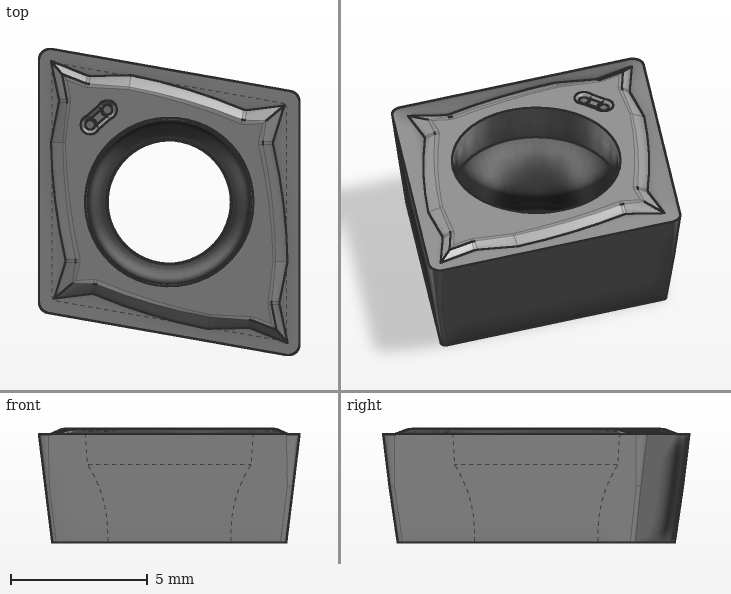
import cadquery as cq
import math

width = 9.53
length = 11.2
total_height = 4.17
land_height = 3.96
break_height = 2.07
acute_angle = 80.0
clearance_angle = 7.0
half_width = width / 2
lean = math.radians(90 - acute_angle)
core_apothem = (length - width) / 2 / (1 / math.cos(lean) + math.tan(lean) - 1)
corner_radius = half_width - core_apothem
overlap = 0.11

bore_diameter = 4.5
entry_diameter = 6.16
seat_diameter = 5.98
entry_depth = 1.31
seat_start_angle = 33.0

crease_height = 4.14
side_bulge = 0.11
bend_flat = 0.11
platform_outlines = [
    {"height": land_height, "acute": 6.73, "obtuse": 5.49,
     "bends": [(-4.03, 3.7), (-4.32, 2.17), (-3.8, -2.15)]},
    {"height": crease_height, "acute": 6.1, "obtuse": 4.63,
     "bends": [(-3.74, 3.7), (-3.89, 2.17), (-3.43, -2.15)]},
    {"height": total_height, "acute": 5.81, "obtuse": 4.47,
     "bends": [(-3.61, 3.73), (-3.8, 2.17), (-3.26, -2.15)]},
]

pit_centers = [(-2.89, 2.82), (-2.26, 3.37)]
pit_radius = 0.35
pit_floor_radius = 0.18
pit_depth = 0.11
groove_width = 0.65
groove_floor_width = 0.31
groove_depth = 0.08

acute_direction = math.radians(90 + acute_angle / 2)
obtuse_direction = acute_direction + math.pi / 2


def polar(radius, direction):
    return (radius * math.cos(direction), radius * math.sin(direction))


def rhombus_section(apothem, radius, height):
    """Rounded rhombus with two sides parallel to Y; apothem is centre to side."""
    core = apothem - radius
    half_angle = math.radians(acute_angle / 2)
    acute_reach = core / math.sin(half_angle)
    obtuse_reach = core / math.cos(half_angle)
    corners = [
        polar(acute_reach, acute_direction),
        polar(obtuse_reach, obtuse_direction),
        polar(-acute_reach, acute_direction),
        polar(-obtuse_reach, obtuse_direction),
    ]
    outline = cq.Workplane("XY", origin=(0, 0, height)).polyline(corners).close()
    return outline.offset2D(radius).val()


def flank_inset(height):
    return (land_height - height) * math.tan(math.radians(clearance_angle))


def ruled_solid(sections):
    return cq.Workplane(obj=cq.Solid.makeLoft(sections, True))


def make_body():
    break_inset = flank_inset(break_height)
    break_radius = corner_radius - break_inset
    top = rhombus_section(half_width, corner_radius, land_height)
    middle = rhombus_section(half_width - break_inset, break_radius, break_height)
    bottom = rhombus_section(half_width - flank_inset(0), break_radius, 0)
    return ruled_solid([bottom, middle]).union(ruled_solid([middle, top]))


def mirror_on_long_diagonal(point):
    x, y = point
    return polar(math.hypot(x, y), 2 * acute_direction - math.atan2(y, x))


def opposite(point):
    return (-point[0], -point[1])


def blunted(bend):
    """Upper and lower end of the narrow flat at a bend."""
    x, y = bend
    return [(x, y + bend_flat / 2), (x, y - bend_flat / 2)]


def platform_section(outline, height):
    """Star-shaped outline with four corners, symmetric about both diagonals."""
    first_bend, arc_start, last_bend = outline["bends"]
    arc_end, flat_end = blunted(last_bend)
    arc_middle = ((arc_start[0] + arc_end[0]) / 2 - side_bulge, (arc_start[1] + arc_end[1]) / 2)
    acute_corner = polar(outline["acute"], acute_direction)
    obtuse_corner = polar(outline["obtuse"], obtuse_direction)
    left_before_arc = [acute_corner, *blunted(first_bend), arc_start]
    left = [*left_before_arc, arc_middle, arc_end, flat_end, obtuse_corner]
    bottom = [opposite(mirror_on_long_diagonal(point)) for point in reversed(left)]
    middle_of_left = len(left_before_arc)
    middle_of_bottom = len(left) - 1 - middle_of_left
    half_outline = [(left, middle_of_left), (bottom, middle_of_bottom)]
    other_half = [([opposite(p) for p in side], middle) for side, middle in half_outline]

    edges = []
    for side, middle in half_outline + other_half:
        points = [cq.Vector(x, y, height) for x, y in side]
        before = points[:middle]
        after = points[middle + 1:]
        edges += [cq.Edge.makeLine(p, q) for p, q in zip(before, before[1:])]
        edges.append(cq.Edge.makeThreePointArc(before[-1], points[middle], after[0]))
        edges += [cq.Edge.makeLine(p, q) for p, q in zip(after, after[1:])]
    return cq.Wire.assembleEdges(edges)


def make_platform():
    foot, crease, rim = [platform_section(o, o["height"]) for o in platform_outlines]
    sunk_foot = platform_section(platform_outlines[0], land_height - overlap)
    platform = ruled_solid([sunk_foot, foot])
    platform = platform.union(ruled_solid([foot, crease]))
    return platform.union(ruled_solid([crease, rim]))


def make_hole():
    bore_radius = bore_diameter / 2
    seat_radius = seat_diameter / 2
    start = math.radians(seat_start_angle)
    arc_radius = (seat_radius - bore_radius) / (1 - math.cos(start))
    seat_top = total_height - entry_depth
    seat_bottom = seat_top - arc_radius * math.sin(start)
    arc_middle = (
        bore_radius + arc_radius * (1 - math.cos(start / 2)),
        seat_bottom + arc_radius * math.sin(start / 2),
    )
    return (
        cq.Workplane("XZ")
        .lineTo(bore_radius, 0)
        .lineTo(bore_radius, seat_bottom)
        .threePointArc(arc_middle, (seat_radius, seat_top))
        .lineTo(entry_diameter / 2, total_height)
        .lineTo(0, total_height)
        .close()
        .revolve(360, (0, 0), (0, 1))
    )


def make_index_mark():
    (x1, y1), (x2, y2) = pit_centers
    spacing = math.hypot(x2 - x1, y2 - y1)
    direction = math.degrees(math.atan2(y2 - y1, x2 - x1))
    mark = (
        cq.Workplane("XY")
        .rect(spacing, groove_width)
        .workplane(offset=-groove_depth)
        .rect(spacing, groove_floor_width)
        .loft(ruled=True)
        .rotate((0, 0, 0), (0, 0, 1), direction)
        .translate(((x1 + x2) / 2, (y1 + y2) / 2, total_height))
    )
    for x, y in pit_centers:
        pit = cq.Solid.makeCone(
            pit_floor_radius, pit_radius, pit_depth, pnt=cq.Vector(x, y, total_height - pit_depth)
        )
        mark = mark.union(cq.Workplane(obj=pit))
    return mark


result = make_body().union(make_platform()).cut(make_hole()).cut(make_index_mark())